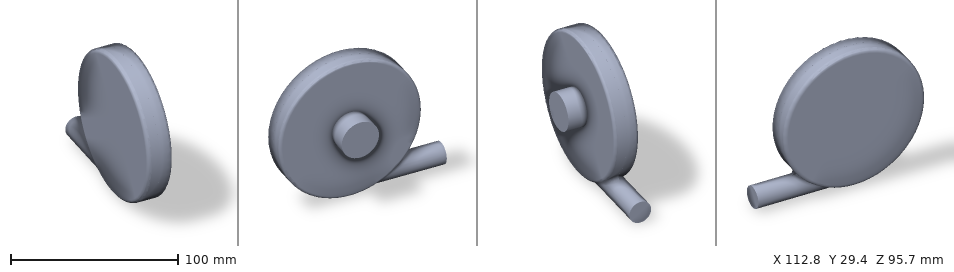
import cadquery as cq

DRUM_DIAMETER = 95.66
DRUM_RADIUS = DRUM_DIAMETER / 2
FRONT_RIM_FILLET = 2.5
BACK_RIM_FILLET = 2.0

PIPE_DIAMETER = 14.66
PIPE_WALL = 1.0
BORE_DIAMETER = PIPE_DIAMETER - 2 * PIPE_WALL
PIPE_LENGTH = 65.0
PIPE_Z = PIPE_DIAMETER / 2 - DRUM_RADIUS
PIPE_FILLET = 2.0

PIPE_MARGIN = 1.0
HALF_DEPTH = PIPE_DIAMETER / 2 + PIPE_MARGIN

BOSS_DIAMETER = 25.0
TOTAL_DEPTH = 29.4
BOSS_END = TOTAL_DEPTH - HALF_DEPTH

WINDOW_DIAMETER = 75.66
WINDOW_THICKNESS = 2.0

FRONT = -1
BACK = 1


def disc(diameter, y_start, y_end):
    """Round disc on the drum axis between two Y positions."""
    plane = cq.Workplane("XZ", origin=(0, y_start, 0))
    return plane.circle(diameter / 2).extrude(y_start - y_end)


def half_rod(diameter, side):
    """Half of a rod along the pipe axis, on one side of the split plane."""
    pipe_end = cq.Workplane("YZ", origin=(-PIPE_LENGTH, 0, PIPE_Z))
    rod = pipe_end.circle(diameter / 2).extrude(PIPE_LENGTH)
    side_center = (-PIPE_LENGTH / 2, side * diameter / 2, PIPE_Z)
    side_block = cq.Workplane("XY").box(PIPE_LENGTH, diameter, diameter).translate(side_center)
    return rod.intersect(side_block)


def half_drum(side, rim_fillet):
    """Half of the drum with its outer rim rounded."""
    rim = "<Y" if side == FRONT else ">Y"
    return disc(DRUM_DIAMETER, 0, side * HALF_DEPTH).faces(rim).edges().fillet(rim_fillet)


def make_front_casing():
    """Front half of drum and pipe, bored for its core and recessed for the window."""
    casing = half_drum(FRONT, FRONT_RIM_FILLET).union(half_rod(PIPE_DIAMETER, FRONT))
    return casing.cut(half_rod(BORE_DIAMETER, FRONT)).cut(make_window())


def make_back_casing():
    """Back half of drum and pipe, with a filleted pipe joint and the inlet boss."""
    drum = half_drum(BACK, BACK_RIM_FILLET)
    casing = drum.union(half_rod(PIPE_DIAMETER, BACK))
    casing = casing.edges("%BSPLINE").fillet(PIPE_FILLET)
    casing = casing.union(disc(BOSS_DIAMETER, 0, BOSS_END))
    return casing.cut(half_rod(BORE_DIAMETER, BACK))


def make_window():
    """Window disc flush with the front face."""
    return disc(WINDOW_DIAMETER, -HALF_DEPTH, WINDOW_THICKNESS - HALF_DEPTH)


def make_outlet_core(side):
    """Half core that fills the pipe bore on one side of the split plane."""
    return half_rod(BORE_DIAMETER, side)


front_casing = make_front_casing()
back_casing = make_back_casing()
window = make_window()
outlet_cores = [make_outlet_core(side) for side in (FRONT, BACK)]

result = cq.Compound.makeCompound(
    [front_casing.val(), back_casing.val(), window.val(), *[core.val() for core in outlet_cores]]
)